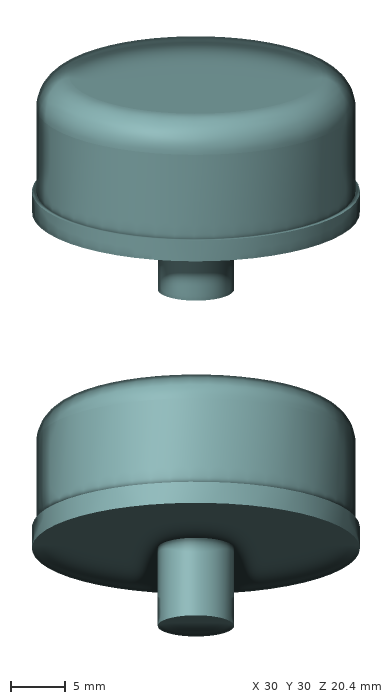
import cadquery as cq

flange_diameter = 30.0
total_height = 20.45

body_diameter = 29.2
stem_diameter = 7.0
stem_length = 7.38
flange_thickness = 2.0
body_height = total_height - stem_length - flange_thickness
top_edge_radius = 3.0


def disc(diameter, bottom, height):
    """Solid cylinder about the Z axis, starting at the given height."""
    return cq.Workplane("XY").workplane(offset=bottom).circle(diameter / 2).extrude(height)


stem = disc(stem_diameter, -stem_length, stem_length)
flange = disc(flange_diameter, 0, flange_thickness)
body = disc(body_diameter, flange_thickness, body_height).faces(">Z").edges().fillet(top_edge_radius)

result = flange.union(body).union(stem)